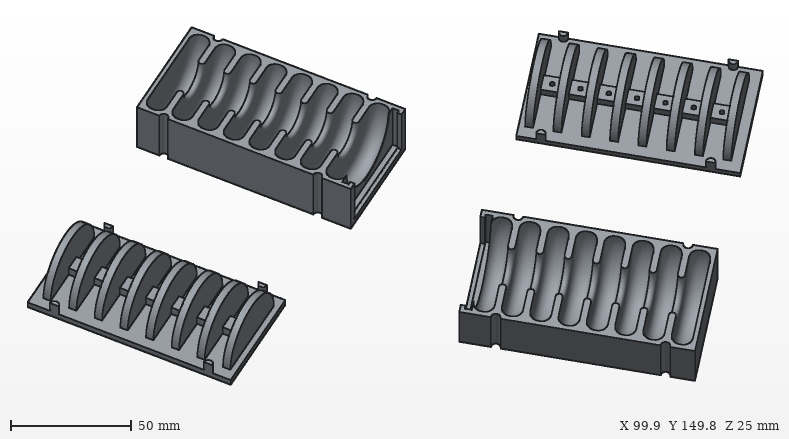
import cadquery as cq

overall_span = 149.8
body_depth = overall_span / 3
body_length = 2 * body_depth
tray_height = body_depth / 2
tray_start_y = overall_span - body_depth
tray_centre_y = tray_start_y + body_depth / 2
lid_centre_y = body_depth / 2

bay_count = 8
bay_pitch = 12.0
bay_width = 9.0
slot_width = 3.0
bays_length = (bay_count - 1) * bay_pitch + bay_width
wall = (body_length - bays_length - slot_width) / 2
first_bay_x = wall + bay_width / 2
bay_centres = [first_bay_x + i * bay_pitch for i in range(bay_count)]
divider_centres = [x + bay_pitch / 2 for x in bay_centres[:-1]]
peg_centres = [divider_centres[0], divider_centres[-1]]

bay_radius = body_depth / 2 - wall
bay_edge_radius = 4.0
divider_thickness = bay_pitch - bay_width
divider_rounding = divider_thickness / 2
notch_radius = 8.5
slot_start_x = bay_centres[-1] + bay_width / 2
slot_span = 2 * bay_radius
slot_floor = wall
opening_span = 43.0
opening_floor = 3.0

lid_length = slot_start_x
plate_thickness = 3.0
disc_radius = 19.9
disc_thickness = 3.5
peg_diameter = 4.0
peg_top = 8.0
bar_width = 7.0
bar_top = 7.0
hole_diameter = 2.0


def box(x_start, x_end, centre_y, span_y, z_start, z_end):
    """Box between two X and two Z positions, centred on a Y position."""
    return (
        cq.Workplane("XY")
        .box(x_end - x_start, span_y, z_end - z_start, centered=(False, True, False))
        .translate((x_start, centre_y, z_start))
    )


def disc(centre_x, centre_y, centre_z, radius, thickness):
    """Disc with its axis along X, centred on the given point."""
    return (
        cq.Workplane("YZ")
        .circle(radius)
        .extrude(thickness)
        .translate((centre_x - thickness / 2, centre_y, centre_z))
    )


def edge_posts(edges_y, height):
    """Upright round posts centred on the two long edges of a body."""
    points = [(x, y) for x in peg_centres for y in edges_y]
    return cq.Workplane("XY").pushPoints(points).circle(peg_diameter / 2).extrude(height)


def bay_cutter(centre_x):
    """Round-edged disc that hollows out one bay."""
    cutter = disc(centre_x, tray_centre_y, tray_height, bay_radius, bay_width)
    return cutter.edges().fillet(bay_edge_radius)


def notch_cutter(centre_x):
    """Disc with a torus taken off its rim, leaving a round notch with a fully rounded edge."""
    notch_centre = cq.Vector(centre_x, tray_centre_y, tray_height)
    rim_radius = notch_radius + divider_rounding
    rim = cq.Solid.makeTorus(rim_radius, divider_rounding, notch_centre, cq.Vector(1, 0, 0))
    blank = disc(centre_x, tray_centre_y, tray_height, rim_radius, divider_thickness)
    return blank.cut(cq.Workplane(rim))


def make_tray():
    tray = box(0, body_length, tray_centre_y, body_depth, 0, tray_height)
    for x in bay_centres:
        tray = tray.cut(bay_cutter(x))
    for x in divider_centres:
        tray = tray.cut(notch_cutter(x))

    slot_end_x = slot_start_x + slot_width
    tray = tray.cut(box(slot_start_x, slot_end_x, tray_centre_y, slot_span, slot_floor, tray_height))
    tray = tray.cut(box(slot_end_x, body_length, tray_centre_y, opening_span, opening_floor, tray_height))

    return tray.cut(edge_posts([tray_start_y, overall_span], tray_height))


def make_lid():
    plate = box(0, lid_length, lid_centre_y, body_depth, 0, plate_thickness)

    peg_envelope = box(0, lid_length, lid_centre_y, body_depth, 0, peg_top)
    lid = plate.union(edge_posts([0, body_depth], peg_top).intersect(peg_envelope))

    above_plate = box(0, lid_length, lid_centre_y, body_depth, plate_thickness, tray_height)
    for x in bay_centres:
        full_disc = disc(x, lid_centre_y, plate_thickness, disc_radius, disc_thickness)
        lid = lid.union(full_disc.intersect(above_plate))

    lid = lid.union(box(bay_centres[0], bay_centres[-1], lid_centre_y, bar_width, 0, bar_top))
    hole_points = [(x, lid_centre_y) for x in divider_centres]
    holes = cq.Workplane("XY").pushPoints(hole_points).circle(hole_diameter / 2).extrude(bar_top)
    return lid.cut(holes)


tray = make_tray()
lid = make_lid()

result = cq.Compound.makeCompound([tray.val(), lid.val()])